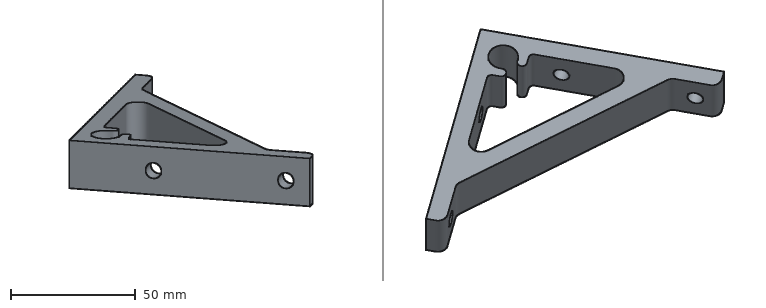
import cadquery as cq
import math

leg_length = 100.0
height = 20.0
wall = 8.0
arm_end_radius = 4.0
brace_blend_radius = 4.0

brace_outer_sum = 88.0
brace_inner_sum = brace_outer_sum - wall * math.sqrt(2)

window_corner_radius = 5.0
lip_root_radius = 2.0

socket_center = 12.0
socket_radius = 6.0
lip_thickness = 4.0
lip_tip = 15.0

hole_diameter = 6.5
hole_positions = (35.0, 90.0)


def fillet_upright_edges(body, points, radius):
    """Round the vertical edges that pass through the given XY points."""
    for x, y in points:
        edge = cq.selectors.NearestToPointSelector((x, y, height / 2))
        body = body.edges("|Z").edges(edge).fillet(radius)
    return body


def make_body():
    brace_end = brace_outer_sum - wall
    body = (
        cq.Workplane("XY")
        .polyline([
            (0, 0),
            (leg_length, 0),
            (leg_length, wall),
            (brace_end, wall),
            (wall, brace_end),
            (wall, leg_length),
            (0, leg_length),
        ])
        .close()
        .extrude(height)
    )
    arm_ends = [(leg_length, wall), (wall, leg_length)]
    brace_ends = [(brace_end, wall), (wall, brace_end)]
    body = fillet_upright_edges(body, arm_ends, arm_end_radius)
    return fillet_upright_edges(body, brace_ends, brace_blend_radius)


def make_window():
    """Triangular window joined to the socket through the gap between the lips."""
    far = brace_inner_sum - wall
    lip_inner = socket_center + socket_radius
    lip_outer = lip_inner + lip_thickness
    lip_middle = lip_inner + lip_thickness / 2
    lip_round_start = lip_tip - lip_thickness / 2
    socket_back = socket_center - socket_radius / math.sqrt(2)
    window = (
        cq.Workplane("XY")
        .moveTo(lip_outer, wall)
        .lineTo(far, wall)
        .lineTo(wall, far)
        .lineTo(wall, lip_outer)
        .lineTo(lip_round_start, lip_outer)
        .threePointArc((lip_tip, lip_middle), (lip_round_start, lip_inner))
        .lineTo(socket_center, lip_inner)
        .threePointArc((socket_back, socket_back), (lip_inner, socket_center))
        .lineTo(lip_inner, lip_round_start)
        .threePointArc((lip_middle, lip_tip), (lip_outer, lip_round_start))
        .close()
        .extrude(height)
    )
    window = fillet_upright_edges(window, [(far, wall), (wall, far)], window_corner_radius)
    lip_roots = [(lip_outer, wall), (wall, lip_outer)]
    return fillet_upright_edges(window, lip_roots, lip_root_radius)


def make_screw_holes():
    """Holes across each leg, ending where they leave its inner face."""
    radius = hole_diameter / 2
    along_x = cq.Vector(1, 0, 0)
    along_y = cq.Vector(0, 1, 0)
    holes = cq.Workplane("XY")
    for position in hole_positions:
        x_leg_start = cq.Vector(position, 0, height / 2)
        y_leg_start = cq.Vector(0, position, height / 2)
        holes = holes.add(cq.Solid.makeCylinder(radius, wall, x_leg_start, along_y))
        holes = holes.add(cq.Solid.makeCylinder(radius, wall, y_leg_start, along_x))
    return holes.combine()


result = make_body().cut(make_window()).cut(make_screw_holes())